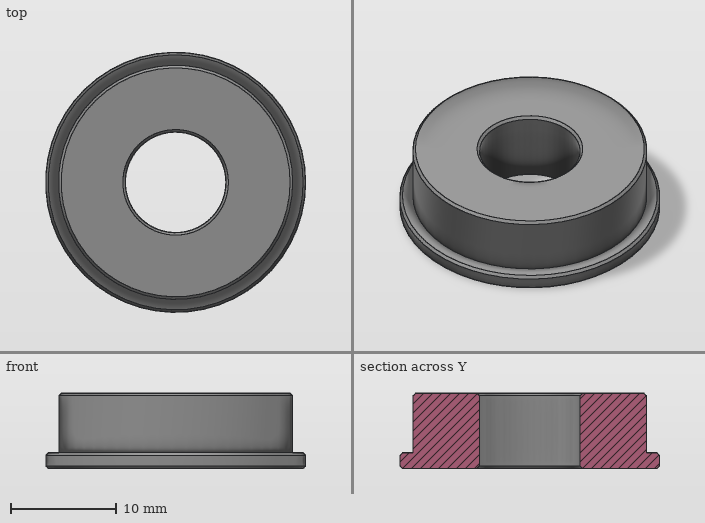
import cadquery as cq

flange_diameter = 24.7
body_diameter = 22.22
bore_diameter = 9.53
height = 7.15
flange_thickness = 1.5
edge_chamfer = 0.25

flange = (
    cq.Workplane("XY")
    .circle(flange_diameter / 2)
    .extrude(flange_thickness)
    .edges()
    .chamfer(edge_chamfer)
)

body = (
    cq.Workplane("XY")
    .circle(body_diameter / 2)
    .extrude(height)
    .faces(">Z")
    .edges()
    .chamfer(edge_chamfer)
)

bore = cq.Workplane("XY").circle(bore_diameter / 2).extrude(height)
ring = flange.union(body).cut(bore)
bore_mouths = cq.selectors.RadiusNthSelector(0)
result = ring.faces("<Z or >Z").edges(bore_mouths).chamfer(edge_chamfer)